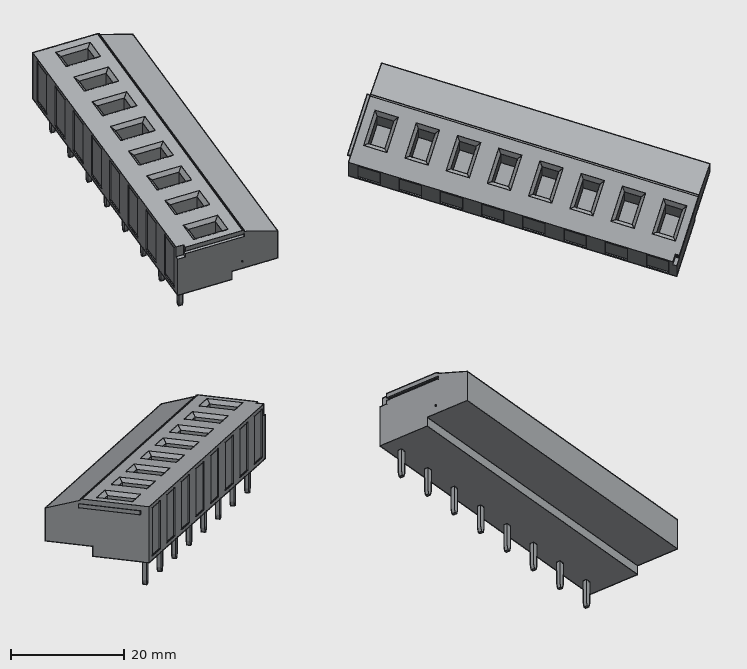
import cadquery as cq


ways = 8
pitch = 7.65
first_way = 3.8
overall_length = 61.55
tongue_reach = 0.6
nub_reach = 0.1
housing_length = overall_length - tongue_reach - nub_reach
housing_depth = 19.5
housing_height = 10.45
undercut_start = 10.6
undercut_height = 1.85
roof_front = 12.6
roof_step = 13.0
roof_lip_height = 10.35
roof_step_height = 10.15
rear_wall_top = 8.0

front_strip = 1.5
tongue_top_drop = 0.75
tongue_bottom_drop = 1.5
tongue_top_undercut = 0.2
notch_width = 0.75
notch_height = 2.2
nub_diameter = 0.25
nub_y = 12.55
nub_z = 3.5

well_width = 4.3
well_length = 6.7
well_center_y = 7.1
throat_width = 3.1
throat_length = 5.25
funnel_depth = 0.75
well_depth = 7.4

panel_width = 4.1
panel_margin = 0.75
panel_recess = 0.25

pin_width = 1.0
pin_thickness = 0.75
pin_front = 1.7
pin_length = 5.4
pin_tip_length = 0.85
pin_tip_width = 0.5

way_centers = [first_way + i * pitch for i in range(ways)]


def make_housing():
    side_profile = [
        (0, 0),
        (undercut_start, 0),
        (undercut_start, undercut_height),
        (housing_depth, undercut_height),
        (housing_depth, rear_wall_top),
        (roof_step, roof_step_height),
        (roof_step, roof_lip_height),
        (roof_front, housing_height),
        (0, housing_height),
    ]
    return cq.Workplane("YZ").polyline(side_profile).close().extrude(housing_length)


def make_tongue(root_x):
    """Rail with a dovetailed top, reaching toward -X from root_x."""
    top = housing_height - tongue_top_drop
    bottom = housing_height - tongue_bottom_drop
    end_profile = [
        (root_x, bottom),
        (root_x - tongue_reach, bottom),
        (root_x - tongue_reach, top),
        (root_x, top - tongue_top_undercut),
    ]
    start = cq.Workplane("XZ", origin=(0, front_strip, 0))
    return start.polyline(end_profile).close().extrude(front_strip - roof_step)


def make_notch():
    """Corner block removed from the front strip so a neighbour's tongue can slide in."""
    return cq.Workplane("XY").box(notch_width, front_strip, notch_height, centered=False).translate(
        (housing_length - notch_width, 0, housing_height - notch_height)
    )


def make_nub():
    """Tiny round nub on the right end face."""
    end_face = cq.Workplane("YZ", origin=(housing_length, nub_y, nub_z))
    return end_face.circle(nub_diameter / 2).extrude(nub_reach)


def make_well(center_x):
    """Funnel-mouthed rectangular well, open at the top face."""
    mouth = cq.Workplane("XY", origin=(center_x, well_center_y, housing_height))
    funnel = (
        mouth.rect(well_width, well_length)
        .workplane(offset=-funnel_depth)
        .rect(throat_width, throat_length)
        .loft()
    )
    shaft = mouth.rect(throat_width, throat_length).extrude(-well_depth)
    return funnel.union(shaft)


def make_panel(center_x):
    panel_height = housing_height - 2 * panel_margin
    return cq.Workplane("XY").box(
        panel_width, panel_recess, panel_height, centered=(True, False, False)
    ).translate((center_x, 0, panel_margin))


def make_pin(center_x):
    """Flat pin hanging below the housing, with its tip tapered in width."""
    half_width = pin_width / 2
    half_tip = pin_tip_width / 2
    shoulder_z = pin_tip_length - pin_length
    outline = [
        (-half_width, 0),
        (-half_width, shoulder_z),
        (-half_tip, -pin_length),
        (half_tip, -pin_length),
        (half_width, shoulder_z),
        (half_width, 0),
    ]
    start = cq.Workplane("XZ", origin=(center_x, pin_front, 0))
    return start.polyline(outline).close().extrude(-pin_thickness)


result = make_housing().union(make_tongue(0)).union(make_nub())
result = result.cut(make_notch()).cut(make_tongue(housing_length))
for x in way_centers:
    result = result.cut(make_well(x)).cut(make_panel(x)).union(make_pin(x))